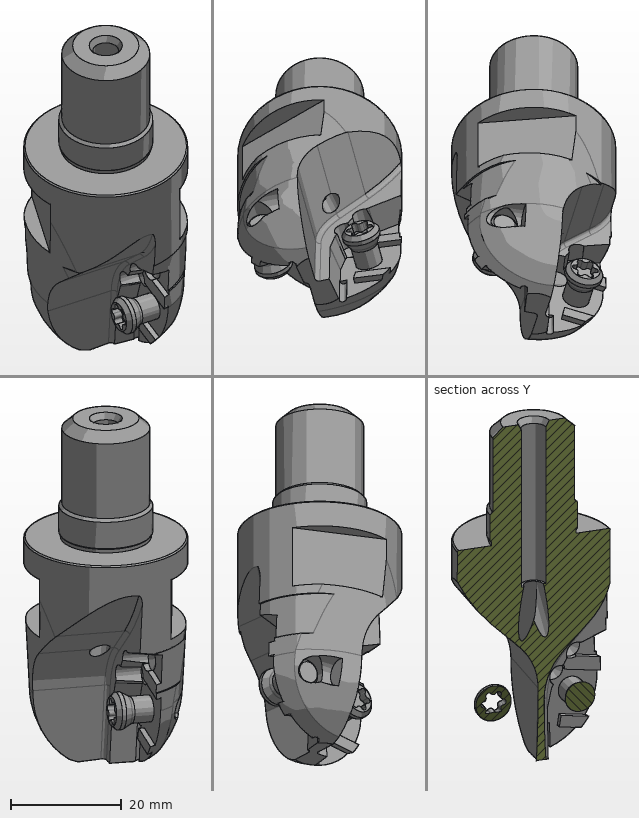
import cadquery as cq
import math


TOTAL_HEIGHT = 66.5
HEAD_DIAMETER = 29.7
HEAD_R = HEAD_DIAMETER / 2
SHOULDER_Z = 43.55
SHOULDER_CHAMFER = 0.25
NECK_R = 8.25
COLLAR_R = 8.5
COLLAR_BOTTOM_Z = 44.5
COLLAR_TOP_Z = 49.6
SHANK_R = 8.0
SHANK_TIP_R = 6.0
SHANK_TIP_HEIGHT = 1.85
NOSE_CENTRE_Z = 13.95

RELIEF_OFFSET = 3.3
RELIEF_R = 17.0
RELIEF_CENTRE_Z = 14.4
RELIEF_TOP_R = 18.55
RELIEF_TOP_Z = 43.9

BAND_R = 14.55
BAND_BOTTOM_Z = 17.55
BAND_TOP_Z = 25.35
FLAT_DISTANCE = 11.9
FLAT_ANGLE = 250.2
FLAT_BOTTOM_Z = 27.05
FLAT_TOP_Z = 38.6

LEAN = 2.8
FLOOR_Y = 0.1
FLOOR_FILLET = 0.8
SEAT_Y = 5.05
SEAT_DRAFT = 8.5
SEAT_OUTLINE = [(3.45, -5.3), (3.45, 9.65), (4.3, 13.3), (8.5, 20.6), (10.0, 20.95), (17.3, 23.6), (17.3, -5.3)]
CORNER_HOLE_R = 2.0
CORNER_HOLES = [(5.45, 15.6), (8.8, 19.6)]
DRILL_HALF_ANGLE = 59.0
CORNER_GROOVE_R = 0.65
CORNER_GROOVE_X = 4.05
CORNER_GROOVE_TOP_Z = 5.3

RIB_RISE = 1.05
RIB_SLOPE = 10.0
UPPER_RIB_START = (3.3, 17.7)
UPPER_RIB_WIDTH = 2.6
LOWER_RIB_WIDTH = 2.2

SCREW_X = 9.0
SCREW_Z = 11.25
SCREW_SHAFT_R = 2.45
SCREW_HEAD_R = 3.45
SCREW_RIM_R = 2.7
SCREW_HEAD_Y = -2.2
SCREW_RIM_END_Y = -1.3
SCREW_CONE_Y = -0.5
SCREW_CONE_END_Y = 0.8
SCREW_SHAFT_Y = 1.4
SCREW_END_Y = 8.9
SCREW_END_CHAMFER = 0.45
TORX_OUTER_R = 2.4
TORX_INNER_R = 1.65
TORX_LOBES = 6
TORX_DEPTH = 1.65

TAIL_RELIEF_R = 2.6
TAIL_RELIEF_Y = 12.0
TAIL_RELIEF_X = 4.65
TAIL_RELIEF_DROP = 0.5

BORE_MOUTH_R = 3.0
BORE_R = 2.3
BORE_MOUTH_DEPTH = 1.2
BORE_BOTTOM_Z = 34.6
BRANCH_R = 1.8
BRANCH_END = (3.2, -2.5, 19.95)

REACH = 19.95

FRONT_FLUTE = dict(
    turn=0.0,
    seat_shift=(0.0, -1.0, 0.0),
    screw_shift=(0.0, -1.0, 0.0),
    lower_rib=(6.4, 5.8),
    core=(2.05, 11.8),
    bend_end=(5.8, 20.75),
    ramp_end=(10.5, 25.5),
    rim_mid=(13.2, 28.7),
    rim=(15.0, 33.7),
)
BACK_FLUTE = dict(
    turn=180.0,
    seat_shift=(-1.0, 0.0, 2.3),
    screw_shift=(-1.2, 0.0, 1.25),
    lower_rib=(6.4, 4.5),
    core=(-0.8, 14.3),
    bend_end=(3.0, 22.95),
    ramp_end=(8.3, 28.1),
    rim_mid=(12.0, 32.5),
    rim=(15.15, 38.05),
)
FLUTES = [FRONT_FLUTE, BACK_FLUTE]


def place(shape, flute):
    """Lean a shape built in the upright flute frame and turn it to its side of the tool."""
    leaned = shape.rotate((0, 0, 0), (1, 0, 0), -LEAN)
    return leaned.rotate((0, 0, 0), (0, 0, 1), flute["turn"])


def ball_arc_midpoint(radius, centre_z):
    """Point halfway along a ball profile, between its equator and z = 0."""
    half_sweep = math.asin(centre_z / radius) / 2
    return radius * math.cos(half_sweep), centre_z - radius * math.sin(half_sweep)


def make_envelope():
    """Turned outline of the shank, collar, head and ball nose."""
    tip_r = math.sqrt(HEAD_R**2 - NOSE_CENTRE_Z**2)
    nose_mid = ball_arc_midpoint(HEAD_R, NOSE_CENTRE_Z)
    return (
        cq.Workplane("XZ")
        .moveTo(0, 0)
        .lineTo(tip_r, 0)
        .threePointArc(nose_mid, (HEAD_R, NOSE_CENTRE_Z))
        .lineTo(HEAD_R, SHOULDER_Z - SHOULDER_CHAMFER)
        .lineTo(HEAD_R - SHOULDER_CHAMFER, SHOULDER_Z)
        .lineTo(NECK_R, SHOULDER_Z)
        .lineTo(NECK_R, COLLAR_BOTTOM_Z - (COLLAR_R - NECK_R))
        .lineTo(COLLAR_R, COLLAR_BOTTOM_Z)
        .lineTo(COLLAR_R, COLLAR_TOP_Z)
        .lineTo(SHANK_R, COLLAR_TOP_Z + COLLAR_R - SHANK_R)
        .lineTo(SHANK_R, TOTAL_HEIGHT - SHANK_TIP_HEIGHT)
        .lineTo(SHANK_TIP_R, TOTAL_HEIGHT)
        .lineTo(0, TOTAL_HEIGHT)
        .close()
        .revolve(360, (0, 0), (0, 1))
    )


def make_relief_limit(turn):
    """Eccentric ball and cone that bound one side of the head, carried up as a cylinder past the shank."""
    bottom_r = math.sqrt(RELIEF_R**2 - RELIEF_CENTRE_Z**2)
    ball_mid = ball_arc_midpoint(RELIEF_R, RELIEF_CENTRE_Z)
    limit = (
        cq.Workplane("XZ")
        .moveTo(0, 0)
        .lineTo(bottom_r, 0)
        .threePointArc(ball_mid, (RELIEF_R, RELIEF_CENTRE_Z))
        .lineTo(RELIEF_TOP_R, RELIEF_TOP_Z)
        .lineTo(RELIEF_TOP_R, TOTAL_HEIGHT)
        .lineTo(0, TOTAL_HEIGHT)
        .close()
        .revolve(360, (0, 0), (0, 1))
        .translate((0, RELIEF_OFFSET, 0))
    )
    return limit.rotate((0, 0, 0), (0, 0, 1), turn)


def make_band_cut():
    height = BAND_TOP_Z - BAND_BOTTOM_Z
    return cq.Workplane("XY").workplane(offset=BAND_BOTTOM_Z).circle(REACH).circle(BAND_R).extrude(height)


def make_flat_cut(turn):
    height = FLAT_TOP_Z - FLAT_BOTTOM_Z
    block = cq.Workplane("XY").box(REACH, 2 * REACH, height, centered=(False, True, False))
    block = block.translate((FLAT_DISTANCE, 0, FLAT_BOTTOM_Z))
    return block.rotate((0, 0, 0), (0, 0, 1), FLAT_ANGLE + turn)


def make_flute_cut(flute):
    """Chip space below the curved wall, with a fillet where the wall meets the floor."""
    core_x, core_z = flute["core"]
    rim_x, rim_z = flute["rim"]
    cut = (
        cq.Workplane("XZ", origin=(0, FLOOR_Y, 0))
        .moveTo(core_x, -REACH)
        .lineTo(core_x, core_z)
        .tangentArcPoint(flute["bend_end"], relative=False)
        .lineTo(*flute["ramp_end"])
        .threePointArc(flute["rim_mid"], flute["rim"])
        .lineTo(REACH, rim_z)
        .lineTo(REACH, -REACH)
        .close()
        .extrude(REACH)
        .faces(">Y")
        .edges()
        .fillet(FLOOR_FILLET)
    )
    return place(cut, flute)


def make_rib(start, width):
    """Sloping rib left standing on the seat."""
    rib = cq.Workplane("XY").box(REACH, RIB_RISE, width, centered=(False, False, True))
    rib = rib.rotate((0, 0, 0), (0, 1, 0), RIB_SLOPE)
    return rib.translate((start[0], SEAT_Y - RIB_RISE, start[1]))


def make_corner_hole(centre):
    """Drilled relief in a pocket corner, with a drill-point bottom below the seat."""
    point_depth = CORNER_HOLE_R / math.tan(math.radians(DRILL_HALF_ANGLE))
    return (
        cq.Workplane("XY")
        .moveTo(0, FLOOR_Y)
        .lineTo(CORNER_HOLE_R, FLOOR_Y)
        .lineTo(CORNER_HOLE_R, SEAT_Y)
        .lineTo(0, SEAT_Y + point_depth)
        .close()
        .revolve(360, (0, 0), (0, 1))
        .translate((centre[0], 0, centre[1]))
    )


def make_seat_cut(flute):
    """Insert pocket with two ribs, drilled corners and a corner groove at the tip."""
    cut = (
        cq.Workplane("XZ", origin=(0, SEAT_Y, 0))
        .polyline(SEAT_OUTLINE)
        .close()
        .extrude(SEAT_Y - FLOOR_Y, taper=-SEAT_DRAFT)
    )
    cut = cut.cut(make_rib(UPPER_RIB_START, UPPER_RIB_WIDTH))
    cut = cut.cut(make_rib(flute["lower_rib"], LOWER_RIB_WIDTH))
    for centre in CORNER_HOLES:
        cut = cut.union(make_corner_hole(centre))
    groove = (
        cq.Workplane("XY")
        .center(CORNER_GROOVE_X, SEAT_Y)
        .circle(CORNER_GROOVE_R)
        .extrude(CORNER_GROOVE_TOP_Z + REACH)
        .translate((0, 0, -REACH))
    )
    return place(cut.union(groove).translate(flute["seat_shift"]), flute)


def make_screw_blank(flute):
    """Turned outline of a clamping screw along its own axis, before the drive socket."""
    blank = (
        cq.Workplane("XY")
        .moveTo(0, SCREW_HEAD_Y)
        .lineTo(SCREW_RIM_R, SCREW_HEAD_Y)
        .lineTo(SCREW_HEAD_R, SCREW_RIM_END_Y)
        .lineTo(SCREW_HEAD_R, SCREW_CONE_Y)
        .lineTo(SCREW_RIM_R, SCREW_CONE_END_Y)
        .lineTo(SCREW_SHAFT_R, SCREW_SHAFT_Y)
        .lineTo(SCREW_SHAFT_R, SCREW_END_Y - SCREW_END_CHAMFER)
        .lineTo(SCREW_SHAFT_R - SCREW_END_CHAMFER, SCREW_END_Y)
        .lineTo(0, SCREW_END_Y)
        .close()
        .revolve(360, (0, 0), (0, 1))
        .translate((SCREW_X, 0, SCREW_Z))
    )
    return place(blank.translate(flute["screw_shift"]), flute)


def make_torx_socket(flute):
    """Six-lobed drive socket whose tips and valleys are arcs meeting at their mean radius."""
    mean_r = (TORX_OUTER_R + TORX_INNER_R) / 2
    step = 360 / (4 * TORX_LOBES)

    def polar(radius, steps):
        angle = math.radians(step * steps)
        return radius * math.cos(angle), radius * math.sin(angle)

    outline = cq.Workplane("XZ").moveTo(*polar(mean_r, -1))
    for lobe in range(TORX_LOBES):
        tip = 4 * lobe
        outline = outline.threePointArc(polar(TORX_OUTER_R, tip), polar(mean_r, tip + 1))
        outline = outline.threePointArc(polar(TORX_INNER_R, tip + 2), polar(mean_r, tip + 3))
    socket = outline.close().extrude(TORX_DEPTH)
    socket = socket.translate((SCREW_X, SCREW_HEAD_Y + TORX_DEPTH, SCREW_Z))
    return place(socket.translate(flute["screw_shift"]), flute)


def make_screw(flute):
    return make_screw_blank(flute).cut(make_torx_socket(flute))


def make_screw_hole(flute):
    """Straight hole from the seat to the tail relief, a close fit on the screw shaft."""
    hole = (
        cq.Workplane("XZ", origin=(SCREW_X, REACH, SCREW_Z))
        .circle(SCREW_SHAFT_R)
        .extrude(REACH - FLOOR_Y)
    )
    return place(hole.translate(flute["screw_shift"]), flute)


def make_tail_relief(flute):
    """Cylindrical notch across the back of the nose where the screw comes through."""
    centre_z = SCREW_Z + flute["screw_shift"][2] - TAIL_RELIEF_DROP
    notch = (
        cq.Workplane("YZ", origin=(TAIL_RELIEF_X, TAIL_RELIEF_Y, centre_z))
        .circle(TAIL_RELIEF_R)
        .extrude(REACH)
    )
    return notch.rotate((0, 0, 0), (0, 0, 1), flute["turn"])


def make_bore():
    """Coolant bore down the shank with a conical mouth."""
    return (
        cq.Workplane("XZ")
        .moveTo(0, BORE_BOTTOM_Z)
        .lineTo(BORE_R, BORE_BOTTOM_Z)
        .lineTo(BORE_R, TOTAL_HEIGHT - BORE_MOUTH_DEPTH)
        .lineTo(BORE_MOUTH_R, TOTAL_HEIGHT)
        .lineTo(0, TOTAL_HEIGHT)
        .close()
        .revolve(360, (0, 0), (0, 1))
    )


def make_branch(flute):
    """Sloping coolant hole from the foot of the bore to the wall of a flute."""
    start = cq.Vector(0, 0, BORE_BOTTOM_Z)
    run = cq.Vector(*BRANCH_END) - start
    solid = cq.Solid.makeCylinder(BRANCH_R, run.Length, start, run)
    return cq.Workplane(obj=solid).rotate((0, 0, 0), (0, 0, 1), flute["turn"])


def make_holder():
    body = make_envelope().cut(make_band_cut())
    for flute in FLUTES:
        body = body.intersect(make_relief_limit(flute["turn"]))
    for flute in FLUTES:
        body = body.cut(make_flat_cut(flute["turn"]))
        body = body.cut(make_flute_cut(flute))
        body = body.cut(make_seat_cut(flute))
        body = body.cut(make_tail_relief(flute))
        body = body.cut(make_screw_hole(flute))
        body = body.cut(make_branch(flute))
    return body.cut(make_bore())


holder = make_holder()
screws = [make_screw(flute) for flute in FLUTES]

result = cq.Compound.makeCompound([holder.val(), *[screw.val() for screw in screws]])